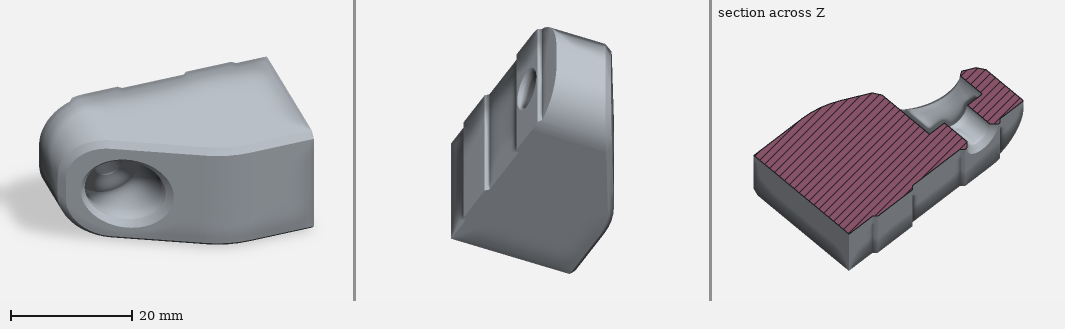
import cadquery as cq

length = 39.98
height = 20.0
thickness = 23.3

nose_thickness = 10.6
bend_y = 25.05
bend_radius = 16.0
nose_radius = 8.0
edge_chamfer = 1.0

pad_height = 0.6
pad_width = 8.0
pad_centers = (10.0, 30.0)

screw_y = pad_centers[0]
screw_diameter = 5.2
counterbore_diameter = 12.0
counterbore_floor_x = 6.4
hole_chamfer = 1.0


def make_body():
    """Wedge-shaped block with a rounded nose and a chamfered outer side."""
    body = (
        cq.Workplane("XY")
        .polyline([
            (pad_height, 0),
            (nose_thickness, 0),
            (thickness, bend_y),
            (thickness, length),
            (pad_height, length),
        ])
        .close()
        .extrude(height / 2, both=True)
    )
    bend_edge = cq.selectors.NearestToPointSelector((thickness, bend_y, 0))
    body = body.edges(bend_edge).fillet(bend_radius)
    body = body.faces("<Y").edges("|X").fillet(nose_radius)
    outer_edge = cq.selectors.NearestToPointSelector((nose_thickness, 0, 0))
    return body.edges(outer_edge).chamfer(edge_chamfer)


def make_pad(center_y):
    """Trapezoidal pad across the mounting face, trimmed to the nose outline."""
    half_top = pad_width / 2
    half_base = half_top + pad_height
    pad = (
        cq.Workplane("XY")
        .polyline([
            (pad_height, center_y - half_base),
            (0, center_y - half_top),
            (0, center_y + half_top),
            (pad_height, center_y + half_base),
        ])
        .close()
        .extrude(height / 2, both=True)
    )
    outline = (
        cq.Workplane("XY")
        .box(pad_height, length, height, centered=(False, False, True))
        .faces("<Y").edges("|X").fillet(nose_radius)
    )
    return pad.intersect(outline)


def cut_screw_hole(body):
    """Counterbored screw hole along X, chamfered at both mouths."""
    axis = cq.Workplane("YZ").center(screw_y, 0)
    counterbore = axis.workplane(offset=counterbore_floor_x).circle(counterbore_diameter / 2).extrude(thickness)
    body = body.cut(counterbore)
    mouth_x = nose_thickness + (thickness - nose_thickness) * screw_y / bend_y
    mouth = cq.selectors.NearestToPointSelector((mouth_x, screw_y, 0))
    body = body.edges(mouth).chamfer(hole_chamfer)
    body = body.cut(axis.circle(screw_diameter / 2).extrude(thickness))
    countersink = cq.Workplane(cq.Solid.makeCone(
        screw_diameter / 2 + hole_chamfer,
        screw_diameter / 2,
        hole_chamfer,
        pnt=cq.Vector(0, screw_y, 0),
        dir=cq.Vector(1, 0, 0),
    ))
    return body.cut(countersink)


block = make_body()
for pad_center in pad_centers:
    block = block.union(make_pad(pad_center))

result = cut_screw_hole(block)